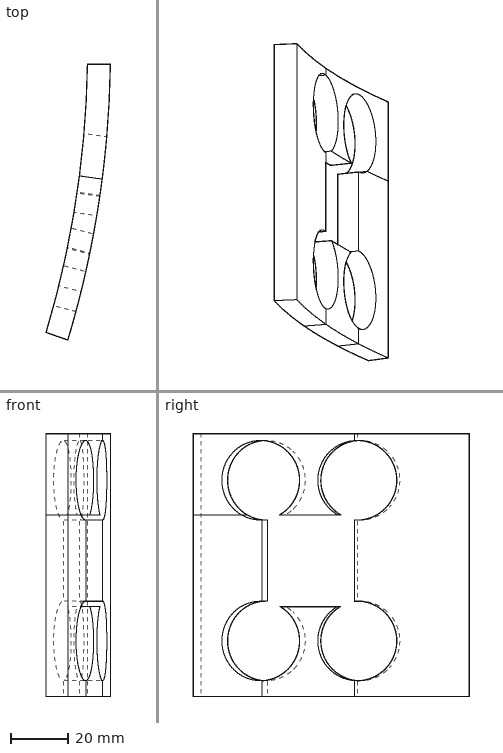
import cadquery as cq
import math


height = 91.65
thickness = 8.1
inner_radius = 344.3
outer_radius = inner_radius + thickness
bend_axis = (-64.3, 5.2)

start_angle = 0.0
left_split_angle = 8.0
right_split_angle = 14.5
end_angle = 19.4

window_bottom = 31.35
window_top = 63.3

hole_diameter = 27.7
hole_angles = (7.8, 14.6)
lower_hole_height = 19.4
hole_rise = 56.0
hole_heights = (lower_hole_height, lower_hole_height + hole_rise)

reach = outer_radius


def direction(angle):
    """Unit vector from the pivot in the horizontal plane."""
    turn = math.radians(-angle)
    return cq.Vector(math.cos(turn), math.sin(turn), 0)


def wall_block(first_angle, last_angle, bottom, top):
    """Piece of plain bent wall between two pivot planes and two heights."""
    first_corner = direction(first_angle) * reach
    last_corner = direction(last_angle) * reach
    band = (
        cq.Workplane("XY", origin=(0, 0, bottom))
        .center(*bend_axis)
        .circle(outer_radius)
        .circle(inner_radius)
        .extrude(top - bottom)
    )
    wedge = (
        cq.Workplane("XY", origin=(0, 0, bottom))
        .polyline([(0, 0), (first_corner.x, first_corner.y), (last_corner.x, last_corner.y)])
        .close()
        .extrude(top - bottom)
    )
    return band.intersect(wedge)


def cut_corner_holes(body):
    """Cut every corner hole that reaches into the body."""
    for angle in hole_angles:
        for hole_height in hole_heights:
            start = cq.Vector(0, 0, hole_height)
            drill = cq.Solid.makeCylinder(hole_diameter / 2, reach, start, direction(angle))
            body = body.cut(cq.Workplane(drill))
    return body


side_panel = cut_corner_holes(wall_block(start_angle, left_split_angle, 0, height))

top_beam = cut_corner_holes(wall_block(left_split_angle, end_angle, window_top, height))

sill = cut_corner_holes(wall_block(left_split_angle, right_split_angle, 0, window_bottom))

end_post = cut_corner_holes(wall_block(right_split_angle, end_angle, 0, window_top))

result = cq.Compound.makeCompound([
    side_panel.solids().val(),
    top_beam.solids().val(),
    sill.solids().val(),
    end_post.solids().val(),
])